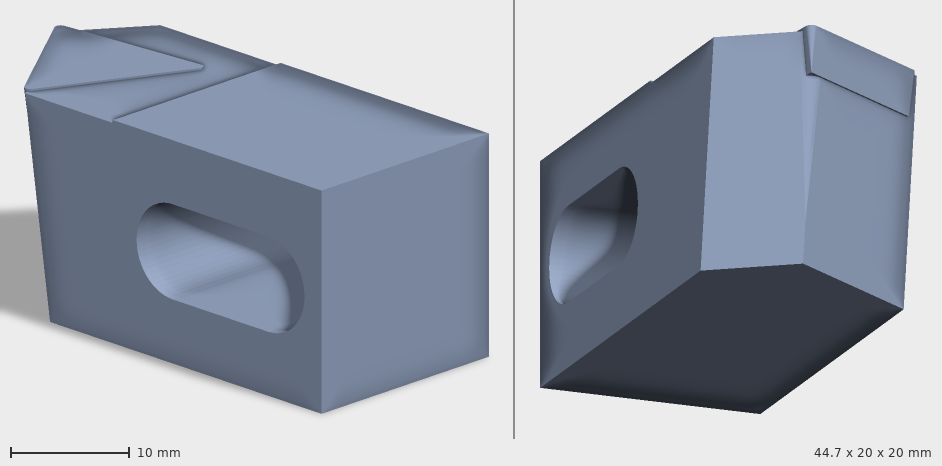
import cadquery as cq
import math

length = 44.65
width = 20.0
height = 20.0
clearance_angle = 7.0
nose_angle = 55.0

front_flank_x = 12.37
rear_flank_x = 8.55
nose_radius = 2.0

step_x = 19.7
step_depth = 0.25
step_run = 0.2

slot_length = 19.95
slot_height = 8.55
slot_center_x = 32.65

insert_edge = 15.05
insert_bottom_radius = 0.01
insert_thickness = 4.0
insert_tip_y = 13.18

clearance_slope = math.tan(math.radians(clearance_angle))
nose_rad = math.radians(nose_angle)


def frustum(bottom_points, top_points, bottom_z, top_z):
    """Straight-sided solid between two polygons with matching corners."""
    bottom = cq.Wire.makePolygon([cq.Vector(x, y, bottom_z) for x, y in bottom_points], close=True)
    top = cq.Wire.makePolygon([cq.Vector(x, y, top_z) for x, y in top_points], close=True)
    return cq.Workplane(obj=cq.Solid.makeLoft([bottom, top], True))


def corner_trimmer(center, direction, half_angle, radius, top_z):
    """Material outside a conical corner rounding whose radius fades to zero downward.

    The rounding spans half_angle degrees to each side of direction.
    """
    depth = radius / clearance_slope
    reach = 4 * radius
    cone = cq.Solid.makeCone(0, radius, depth, pnt=cq.Vector(*center, top_z - depth))
    sector = [center]
    for turn in (-half_angle, 0, half_angle):
        angle = math.radians(direction + turn)
        sector.append((center[0] + reach * math.cos(angle), center[1] + reach * math.sin(angle)))
    wedge = cq.Workplane("XY", origin=(0, 0, top_z - depth)).polyline(sector).close().extrude(depth)
    return wedge.cut(cq.Workplane(obj=cone))


def make_insert():
    bottom_z = height - insert_thickness
    top_radius = insert_bottom_radius + insert_thickness * clearance_slope
    tip = (top_radius, insert_tip_y)
    centers = [tip]
    for heading in (-nose_angle, 60 - nose_angle):
        angle = math.radians(heading)
        centers.append((tip[0] + insert_edge * math.cos(angle), tip[1] + insert_edge * math.sin(angle)))
    return (
        cq.Workplane("XY", origin=(0, 0, bottom_z))
        .polyline(centers)
        .close()
        .offset2D(insert_bottom_radius)
        .extrude(insert_thickness, taper=-clearance_angle)
    )


def make_holder(insert):
    flank_run = 1 / math.tan(nose_rad)
    lean = height * clearance_slope / math.sin(nose_rad)
    nose_y = (width + (front_flank_x - rear_flank_x) / flank_run) / 2
    nose_x = front_flank_x - nose_y * flank_run

    def outline(forward):
        return [
            (front_flank_x - forward, 0),
            (length, 0),
            (length, width),
            (rear_flank_x - forward, width),
            (nose_x - forward, nose_y),
        ]

    body = frustum(outline(0), outline(lean), 0, height)

    nose_center = (nose_x - lean + nose_radius / math.sin(nose_rad), nose_y)
    body = body.cut(corner_trimmer(nose_center, 180, 90 - nose_angle, nose_radius, height))

    step = (
        cq.Workplane("XZ")
        .moveTo(-length, height)
        .lineTo(step_x + step_run, height)
        .lineTo(step_x, height - step_depth)
        .lineTo(-length, height - step_depth)
        .close()
        .extrude(-width)
    )
    slot = (
        cq.Workplane("XZ")
        .center(slot_center_x, height / 2)
        .slot2D(slot_length, slot_height)
        .extrude(-width)
    )
    return body.cut(step).cut(slot).cut(insert).solids()


insert = make_insert()
holder = make_holder(insert)

result = cq.Compound.makeCompound([holder.val(), insert.val()])